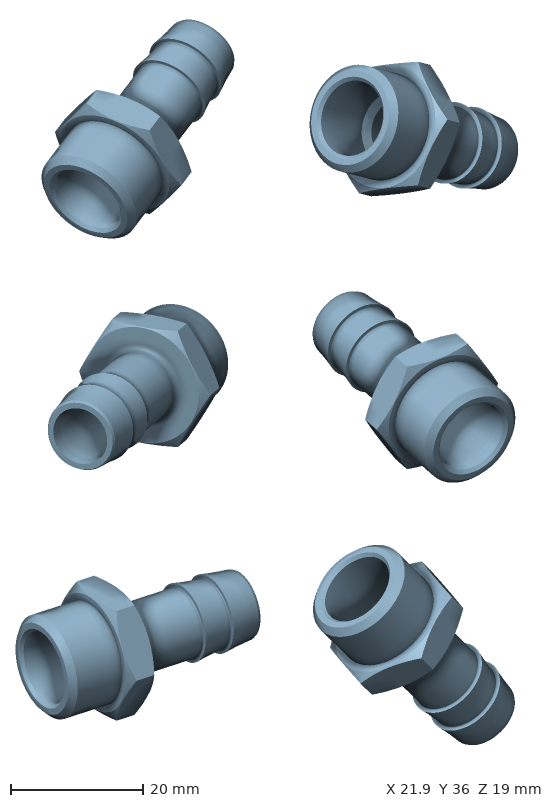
import cadquery as cq
import math

length = 36.0
center_y = length / 2

thread_length = 9.0
thread_radius = 8.25
thread_chamfer = 1.0

hex_width = 19.0
hex_length = 5.0
hex_face_radius = 9.4
hex_chamfer_angle = 30.0
hex_corner_radius = hex_width / math.sqrt(3)
hex_end = thread_length + hex_length

stem_radius = 5.6
neck_fillet = 1.0
barb_radius = 6.25
barb_pitch = 5.0
hook_fillet = 0.18
barb_hollow = 0.07
tip_chamfer_length = 0.45
tip_radius = 5.4
first_barb_length = 5.47
barb_count = 2

bore_radius = 4.5
wide_bore_radius = 5.75
wide_bore_depth = 11.0
mouth_chamfer = 0.5
drill_half_angle = 59.0


def revolve_about_y(profile):
    return profile.close().revolve(360, (0, 0, 0), (0, 1, 0))


def make_thread():
    return revolve_about_y(
        cq.Workplane("XY")
        .lineTo(thread_radius - thread_chamfer, 0)
        .lineTo(thread_radius, thread_chamfer)
        .lineTo(thread_radius, thread_length)
        .lineTo(0, thread_length)
    )


def make_hex():
    prism = (
        cq.Workplane("XZ", origin=(0, thread_length, 0))
        .polygon(6, 2 * hex_corner_radius)
        .extrude(-hex_length)
    )
    cut_radial = hex_corner_radius - hex_face_radius
    cut_axial = cut_radial * math.tan(math.radians(hex_chamfer_angle))
    corner_envelope = revolve_about_y(
        cq.Workplane("XY")
        .moveTo(0, thread_length)
        .lineTo(hex_face_radius, thread_length)
        .lineTo(hex_corner_radius, thread_length + cut_axial)
        .lineTo(hex_corner_radius, hex_end - cut_axial)
        .lineTo(hex_face_radius, hex_end)
        .lineTo(0, hex_end)
    )
    return prism.intersect(corner_envelope)


def fillet_arc(profile, radius, start, end, corner):
    """Add a quarter round between two points that is hollow towards the given corner."""
    centre = (start[0] + end[0] - corner[0], start[1] + end[1] - corner[1])
    inset = radius * math.sqrt(0.5)
    middle = (
        centre[0] + math.copysign(inset, corner[0] - centre[0]),
        centre[1] + math.copysign(inset, corner[1] - centre[1]),
    )
    return profile.threePointArc(middle, end)


def make_stem():
    neck_start = (stem_radius + neck_fillet, hex_end)
    neck_end = (stem_radius, hex_end + neck_fillet)
    profile = cq.Workplane("XY").moveTo(0, hex_end).lineTo(*neck_start)
    profile = fillet_arc(profile, neck_fillet, neck_start, neck_end, (stem_radius, hex_end))

    first_hook_y = length - first_barb_length - (barb_count - 1) * barb_pitch
    profile = profile.lineTo(stem_radius, first_hook_y - hook_fillet)

    for index in range(barb_count):
        hook_y = first_hook_y + index * barb_pitch
        if index == barb_count - 1:
            flank_end_y = length - tip_chamfer_length
        else:
            flank_end_y = hook_y + barb_pitch - hook_fillet
        hook_start = (stem_radius, hook_y - hook_fillet)
        hook_end = (stem_radius + hook_fillet, hook_y)
        profile = fillet_arc(profile, hook_fillet, hook_start, hook_end, (stem_radius, hook_y))
        flank_middle = ((barb_radius + stem_radius) / 2 - barb_hollow, (hook_y + flank_end_y) / 2)
        profile = profile.lineTo(barb_radius, hook_y)
        profile = profile.threePointArc(flank_middle, (stem_radius, flank_end_y))

    return revolve_about_y(profile.lineTo(tip_radius, length).lineTo(0, length))


def make_bore():
    cone_length = (wide_bore_radius - bore_radius) / math.tan(math.radians(drill_half_angle))
    return revolve_about_y(
        cq.Workplane("XY")
        .lineTo(wide_bore_radius + mouth_chamfer, 0)
        .lineTo(wide_bore_radius, mouth_chamfer)
        .lineTo(wide_bore_radius, wide_bore_depth)
        .lineTo(bore_radius, wide_bore_depth + cone_length)
        .lineTo(bore_radius, length)
        .lineTo(0, length)
    )


fitting = make_thread().union(make_hex()).union(make_stem()).cut(make_bore())
result = fitting.translate((0, -center_y, 0))